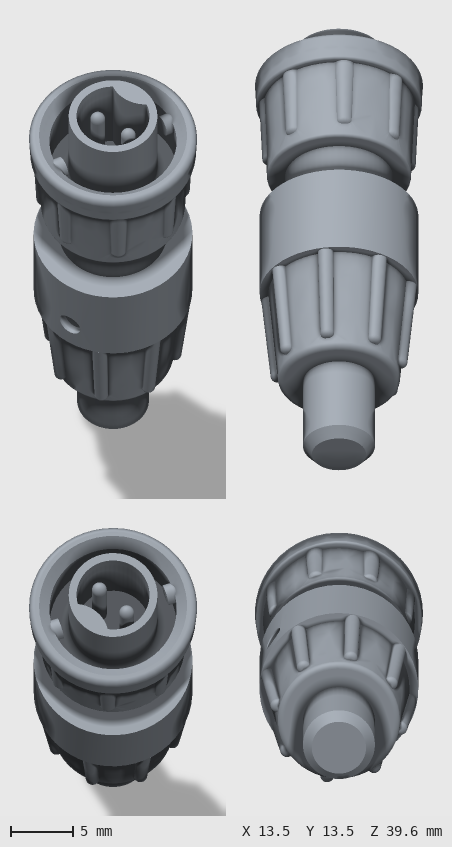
import cadquery as cq
import math

TOTAL_LENGTH = 39.65
GRIP_BOTTOM = 7.15
COLLAR_BOTTOM = 15.98
COLLAR_TOP = 23.65
SLEEVE_BOTTOM = 27.45
RING_BOTTOM = 34.5
RING_TOP = 37.0
SOCKET_FLOOR = 32.25

CABLE_RADIUS = 2.9
CABLE_CHAMFER_HEIGHT = 0.85
CABLE_CHAMFER_WIDTH = 0.7

GRIP_BOTTOM_RADIUS = 4.88
GRIP_TOP_RADIUS = 5.67
GRIP_FILLET = 0.48

COLLAR_RADIUS = 6.4
RECESS_RADIUS = 1.0
RECESS_HEIGHT = 18.48
RECESS_DEPTH = 0.8
RECESS_FLOOR_RADIUS = 5.55

NECK_RADIUS = 4.35

SLEEVE_BOTTOM_RADIUS = 5.8
SLEEVE_TOP_RADIUS = 6.1
SLEEVE_FILLET = 0.25
RING_BOTTOM_RADIUS = 6.65
RING_TOP_RADIUS = 6.78
RING_BOTTOM_FILLET = 0.2
RING_TOP_FILLET = 0.48

SOCKET_RADIUS = 5.1
MOUTH_RADIUS = 5.95
FLARE_DEPTH = 0.8

PEG_RADIUS = 0.85
PEG_TOP = 36.35
PEG_INNER_END = 4.45
PEG_OUTER_END = 5.55
PEG_ANGLES = (60, 240)

PLUG_RADIUS = 3.55
PLUG_BORE_RADIUS = 2.95
PLUG_ROOT_FILLET = 0.6
KEY_RADIUS = 2.8
KEY_TIP = 1.95

PIN_RADIUS = 0.6
PIN_OFFSET = 1.45
PIN_TOP = 38.75

RIB_COUNT = 8
RIB_PITCH = 360 / RIB_COUNT
RIB_END_ROUND = 0.45

GRIP_RIB_START_OFFSET = 5.7
GRIP_RIB_START_RADIUS = 0.65
GRIP_RIB_END_OFFSET = 5.05
GRIP_RIB_END_RADIUS = 0.55
GRIP_RIB_END_HEIGHT = 8.45
GRIP_RIB_FIRST_ANGLE = RIB_PITCH / 2

SLEEVE_RIB_START_OFFSET = 5.47
SLEEVE_RIB_START_RADIUS = 0.95
SLEEVE_RIB_END_OFFSET = 5.5
SLEEVE_RIB_END_RADIUS = 0.67
SLEEVE_RIB_END_HEIGHT = 29.02
SLEEVE_RIB_FIRST_ANGLE = 37.5


def cylinder(radius, bottom, top):
    return cq.Workplane("XY").workplane(offset=bottom).circle(radius).extrude(top - bottom)


def tapered_cylinder(bottom_radius, top_radius, bottom, top):
    return cq.Workplane(cq.Solid.makeCone(bottom_radius, top_radius, top - bottom, cq.Vector(0, 0, bottom)))


def ribs(start, end, start_radius, end_radius, first_angle):
    """Ring of ribs; start and end are (distance from main axis, z) on a rib's centre line."""
    run = start[0] - end[0]
    drop = start[1] - end[1]
    length = math.hypot(run, drop)
    corner = RIB_END_ROUND * math.sqrt(0.5)
    rib = (
        cq.Workplane("XZ")
        .lineTo(start_radius, 0)
        .lineTo(end_radius, -length)
        .threePointArc(
            (end_radius - RIB_END_ROUND + corner, -length - corner),
            (end_radius - RIB_END_ROUND, -length - RIB_END_ROUND),
        )
        .lineTo(0, -length - RIB_END_ROUND)
        .close()
        .revolve(360, (0, 0, 0), (0, 1, 0))
        .rotate((0, 0, 0), (0, 1, 0), math.degrees(math.atan2(run, drop)))
        .translate((start[0], 0, start[1]))
    )
    ring = cq.Workplane("XY")
    for i in range(RIB_COUNT):
        ring = ring.add(rib.rotate((0, 0, 0), (0, 0, 1), first_angle + i * RIB_PITCH))
    return ring.combine()


def cable():
    taper = tapered_cylinder(CABLE_RADIUS - CABLE_CHAMFER_WIDTH, CABLE_RADIUS, 0, CABLE_CHAMFER_HEIGHT)
    return taper.union(cylinder(CABLE_RADIUS, CABLE_CHAMFER_HEIGHT, GRIP_BOTTOM))


def grip():
    body = tapered_cylinder(GRIP_BOTTOM_RADIUS, GRIP_TOP_RADIUS, GRIP_BOTTOM, COLLAR_BOTTOM)
    body = body.faces("<Z").edges().fillet(GRIP_FILLET)
    grip_ribs = ribs(
        (GRIP_RIB_START_OFFSET, COLLAR_BOTTOM),
        (GRIP_RIB_END_OFFSET, GRIP_RIB_END_HEIGHT),
        GRIP_RIB_START_RADIUS,
        GRIP_RIB_END_RADIUS,
        GRIP_RIB_FIRST_ANGLE,
    )
    return body.union(grip_ribs)


def collar():
    body = cylinder(COLLAR_RADIUS, COLLAR_BOTTOM, COLLAR_TOP)
    deepest_y = RECESS_DEPTH - COLLAR_RADIUS
    recess = (
        cq.Workplane("XZ", origin=(0, deepest_y, RECESS_HEIGHT))
        .circle(RECESS_RADIUS)
        .extrude(RECESS_FLOOR_RADIUS)
    )
    hollow = (
        cq.Workplane("YZ", origin=(0, deepest_y - RECESS_FLOOR_RADIUS, RECESS_HEIGHT))
        .circle(RECESS_FLOOR_RADIUS)
        .extrude(RECESS_RADIUS, both=True)
    )
    return body.cut(recess.intersect(hollow))


def coupling_ring():
    sleeve = tapered_cylinder(SLEEVE_BOTTOM_RADIUS, SLEEVE_TOP_RADIUS, SLEEVE_BOTTOM, RING_BOTTOM)
    sleeve = sleeve.faces("<Z").edges().fillet(SLEEVE_FILLET)
    sleeve_ribs = ribs(
        (SLEEVE_RIB_START_OFFSET, RING_BOTTOM),
        (SLEEVE_RIB_END_OFFSET, SLEEVE_RIB_END_HEIGHT),
        SLEEVE_RIB_START_RADIUS,
        SLEEVE_RIB_END_RADIUS,
        SLEEVE_RIB_FIRST_ANGLE,
    )
    sleeve = sleeve.union(sleeve_ribs)
    rim = tapered_cylinder(RING_BOTTOM_RADIUS, RING_TOP_RADIUS, RING_BOTTOM, RING_TOP)
    rim = rim.faces("<Z").edges().fillet(RING_BOTTOM_FILLET)
    rim = rim.faces(">Z").edges().fillet(RING_TOP_FILLET)
    flare = tapered_cylinder(SOCKET_RADIUS, MOUTH_RADIUS, RING_TOP - FLARE_DEPTH, RING_TOP)
    socket = cylinder(SOCKET_RADIUS, SOCKET_FLOOR, RING_TOP)
    return sleeve.union(rim).cut(socket).cut(flare)


def pegs():
    peg = (
        cq.Workplane("YZ", origin=(PEG_INNER_END, 0, PEG_TOP - PEG_RADIUS))
        .circle(PEG_RADIUS)
        .extrude(PEG_OUTER_END - PEG_INNER_END)
    )
    both = cq.Workplane("XY")
    for angle in PEG_ANGLES:
        both = both.add(peg.rotate((0, 0, 0), (0, 0, 1), angle))
    return both.combine()


def plug():
    root_radius = PLUG_RADIUS + PLUG_ROOT_FILLET
    fillet_inset = PLUG_ROOT_FILLET * (1 - math.sqrt(0.5))
    tube = (
        cq.Workplane("XZ")
        .moveTo(PLUG_BORE_RADIUS, SOCKET_FLOOR)
        .lineTo(root_radius, SOCKET_FLOOR)
        .threePointArc(
            (PLUG_RADIUS + fillet_inset, SOCKET_FLOOR + fillet_inset),
            (PLUG_RADIUS, SOCKET_FLOOR + PLUG_ROOT_FILLET),
        )
        .lineTo(PLUG_RADIUS, TOTAL_LENGTH)
        .lineTo(PLUG_BORE_RADIUS, TOTAL_LENGTH)
        .close()
        .revolve(360, (0, 0, 0), (0, 1, 0))
    )
    key = cylinder(KEY_RADIUS, SOCKET_FLOOR, TOTAL_LENGTH).translate((0, KEY_TIP + KEY_RADIUS, 0))
    key = key.intersect(cylinder((PLUG_BORE_RADIUS + PLUG_RADIUS) / 2, SOCKET_FLOOR, TOTAL_LENGTH))
    return tube.union(key)


def pins():
    pin = cylinder(PIN_RADIUS, SOCKET_FLOOR, PIN_TOP - PIN_RADIUS)
    pin = pin.union(cq.Workplane("XY").sphere(PIN_RADIUS).translate((0, 0, PIN_TOP - PIN_RADIUS)))
    return pin.translate((-PIN_OFFSET, 0, 0)).union(pin.translate((PIN_OFFSET, 0, 0)))


result = cable().union(grip()).union(collar())
result = result.union(cylinder(NECK_RADIUS, COLLAR_TOP, SLEEVE_BOTTOM))
result = result.union(coupling_ring()).union(pegs()).union(plug()).union(pins())